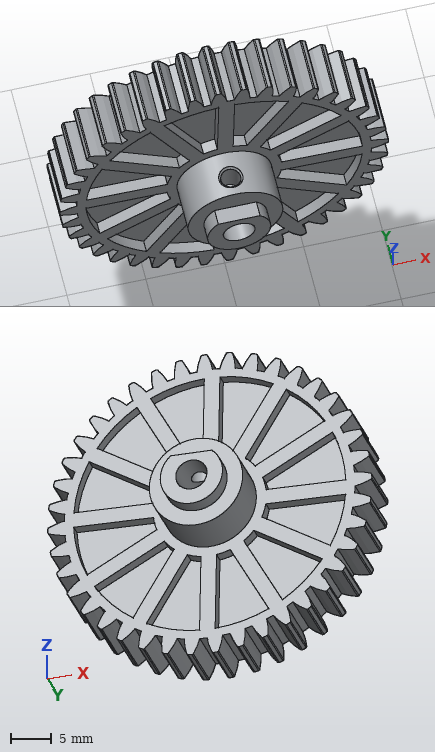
import cadquery as cq
import math


tooth_count = 40
first_tooth_angle = 2.0
root_radius = 18.65
root_width = 2.0
knee_radius = 19.63
knee_width = 1.63
shoulder_radius = 20.75
shoulder_width = 0.85
tip_radius = 20.85
tip_width = 0.5

tooth_pitch_angle = 360 / tooth_count

gear_width = 7.0
spoke_count = 12
spoke_width = 2.0
first_spoke_angle = -1.0
pocket_inner_radius = 7.3
pocket_outer_radius = 17.5
pocket_depth = 1.5

hub_diameter = 12.0
bore_diameter = 4.0
hub_back_step = 0.5
hub_front_length = 6.0
boss_diameter = 8.0
boss_length = 2.0
boss_flat_height = 3.0

screw_diameter = 2.5
screw_chamfer = 0.25
screw_from_hub_end = 2.5

hub_end = gear_width + hub_front_length


def polar(radius, degrees):
    """Point in the gear plane at a radius and an angle."""
    angle = math.radians(degrees)
    return radius * math.cos(angle), radius * math.sin(angle)


def half_angle(width, radius):
    """Half of the angle, in degrees, that a width across the radial direction covers at a radius."""
    return math.degrees(math.asin(width / 2 / radius))


def face_plane(distance):
    """Workplane across the gear axis, at a distance in front of the gear's back face."""
    return cq.Workplane("XZ").workplane(offset=distance)


def tooth_outline():
    """Closed outline of all the teeth, joined by root arcs."""
    root_half = half_angle(root_width, root_radius)
    half_profile = [
        (root_radius, root_half),
        (knee_radius, half_angle(knee_width, knee_radius)),
        (shoulder_radius, half_angle(shoulder_width, shoulder_radius)),
        (tip_radius, half_angle(tip_width, tip_radius)),
    ]

    outline = face_plane(0).moveTo(*polar(root_radius, first_tooth_angle - root_half))
    for tooth in range(tooth_count):
        center = first_tooth_angle + tooth * tooth_pitch_angle
        for radius, half in half_profile[1:]:
            outline = outline.lineTo(*polar(radius, center - half))
        for radius, half in reversed(half_profile):
            outline = outline.lineTo(*polar(radius, center + half))
        gap_middle = polar(root_radius, center + tooth_pitch_angle / 2)
        next_tooth = polar(root_radius, center + tooth_pitch_angle - root_half)
        outline = outline.threePointArc(gap_middle, next_tooth)
    return outline.close()


def spoke_pocket(center):
    """Pocket between two spokes: two arcs about the axis and two sides parallel to the spokes."""
    half_pitch = 180 / spoke_count
    inner_half = half_pitch - half_angle(spoke_width, pocket_inner_radius)
    outer_half = half_pitch - half_angle(spoke_width, pocket_outer_radius)
    return (
        face_plane(gear_width - pocket_depth)
        .moveTo(*polar(pocket_inner_radius, center - inner_half))
        .lineTo(*polar(pocket_outer_radius, center - outer_half))
        .threePointArc(polar(pocket_outer_radius, center), polar(pocket_outer_radius, center + outer_half))
        .lineTo(*polar(pocket_inner_radius, center + inner_half))
        .threePointArc(polar(pocket_inner_radius, center), polar(pocket_inner_radius, center - inner_half))
        .close()
        .extrude(pocket_depth)
    )


def make_gear():
    gear = tooth_outline().extrude(gear_width)
    hub_hole = face_plane(0).circle(hub_diameter / 2).extrude(gear_width)
    gear = gear.cut(hub_hole)
    for spoke in range(spoke_count):
        gear = gear.cut(spoke_pocket(first_spoke_angle + (spoke + 0.5) * 360 / spoke_count))
    return gear


def make_boss():
    """Round boss on the front of the hub, cut flat on its +Z side."""
    boss = face_plane(hub_end).circle(boss_diameter / 2).extrude(boss_length)
    below_flat = (
        face_plane(hub_end)
        .center(0, boss_flat_height - boss_diameter / 2)
        .rect(boss_diameter, boss_diameter)
        .extrude(boss_length)
    )
    return boss.intersect(below_flat)


def make_hub():
    hub = face_plane(-hub_back_step).circle(hub_diameter / 2).extrude(hub_back_step + hub_end)

    screw_hole = (
        cq.Workplane("XY")
        .center(0, screw_from_hub_end - hub_end)
        .circle(screw_diameter / 2)
        .extrude(hub_diameter)
    )
    hub = hub.cut(screw_hole)
    screw_mouth = cq.selectors.BoxSelector(
        (-screw_diameter, -hub_end + screw_chamfer, bore_diameter),
        (screw_diameter, -gear_width - screw_chamfer, hub_diameter),
    )
    hub = hub.edges(screw_mouth).chamfer(screw_chamfer)

    hub = hub.union(make_boss())
    bore = face_plane(-hub_back_step).circle(bore_diameter / 2).extrude(hub_back_step + hub_end + boss_length)
    return hub.cut(bore)


gear = make_gear()
hub = make_hub()

result = cq.Compound.makeCompound([gear.val(), hub.val()])